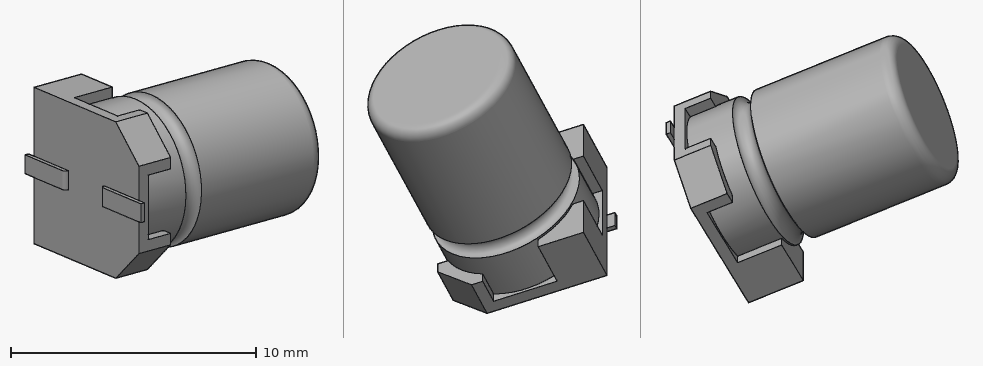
import cadquery as cq
import math


lead_span = 7.5
lead_length = 2.6
lead_width = 0.82
lead_thickness = 0.19

base_side = 6.8
base_corner_cut = 1.5
floor_thickness = 0.5
tall_post_height = 2.5
short_post_height = 1.66
post_gap = 2.8

can_radius = 3.25
can_rim_fillet = 0.5
groove_radius = 0.41
groove_above_posts = 0.49

total_height = 10.01
base_bottom = lead_thickness
floor_top = base_bottom + floor_thickness
tall_post_top = base_bottom + tall_post_height
short_post_top = base_bottom + short_post_height
groove_center = tall_post_top + groove_above_posts

half_base = base_side / 2


def box_between(x_start, x_end, y_start, y_end, z_length):
    """Box centred on Z = 0 that spans the given X and Y ranges."""
    return (
        cq.Workplane("XY")
        .box(x_end - x_start, y_end - y_start, z_length, centered=(False, False, True))
        .translate((x_start, y_start, 0))
    )


def cylinder_along_y(radius, y_start, y_end):
    """Cylinder on the Y axis between two levels."""
    axis_start = cq.Vector(0, y_start, 0)
    axis_direction = cq.Vector(0, 1, 0)
    return cq.Workplane(cq.Solid.makeCylinder(radius, y_end - y_start, axis_start, axis_direction))


def make_base():
    """Square base with two cut corners and four posts that hold the can."""
    half_gap = post_gap / 2
    block = box_between(-half_base, half_base, base_bottom, tall_post_top, base_side)
    block = block.edges("|Y and >X").chamfer(base_corner_cut)

    can_seat = cylinder_along_y(can_radius, floor_top, tall_post_top)
    gap_across_x = box_between(-half_base, half_base, floor_top, tall_post_top, post_gap)
    gap_across_z = box_between(-half_gap, half_gap, floor_top, tall_post_top, base_side)
    short_side = box_between(half_gap, half_base, short_post_top, tall_post_top, base_side)
    return block.cut(can_seat).cut(gap_across_x).cut(gap_across_z).cut(short_side)


def make_can():
    """Round can with a rounded far rim and a half-round crimp groove."""
    can = cylinder_along_y(can_radius, floor_top, total_height)
    can = can.faces(">Y").edges().fillet(can_rim_fillet)
    groove = cq.Workplane(
        cq.Solid.makeTorus(can_radius, groove_radius, cq.Vector(0, groove_center, 0), cq.Vector(0, 1, 0))
    )
    return can.cut(groove)


def make_lead(turn):
    """Flat lead with a rounded inner end, turned about Y from the -X side."""
    outer_x = -lead_span / 2
    inner_x = outer_x + lead_length
    bend_radius = lead_thickness
    bend_center_x = inner_x - bend_radius
    bend_offset = bend_radius * math.sqrt(0.5)
    return (
        cq.Workplane("XY")
        .moveTo(outer_x, 0)
        .lineTo(bend_center_x, 0)
        .threePointArc(
            (bend_center_x + bend_offset, bend_radius - bend_offset),
            (inner_x, bend_radius),
        )
        .lineTo(outer_x, lead_thickness)
        .close()
        .extrude(lead_width / 2, both=True)
        .rotate((0, 0, 0), (0, 1, 0), turn)
    )


base = make_base()
can = make_can()
leads = [make_lead(turn) for turn in (0, 180)]

result = cq.Compound.makeCompound([base.val(), can.val(), *[lead.val() for lead in leads]])